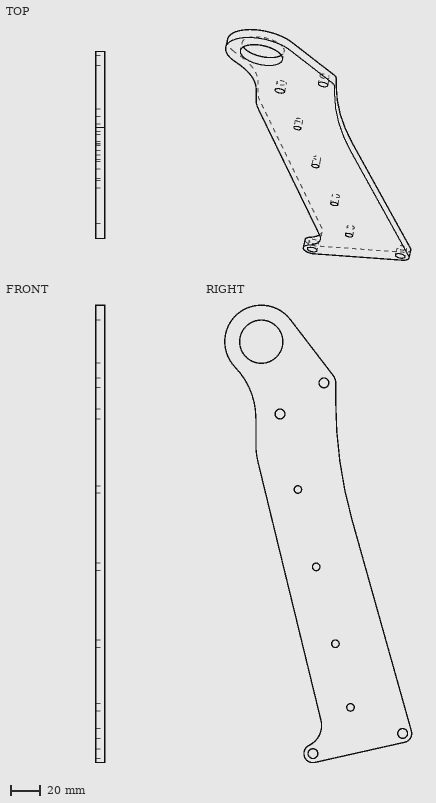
import cadquery as cq
import math

thickness = 6.2

ring_centre = (0.0, 287.5)
ring_radius = 25.0
bore_diameter = 29.5

shoulder_centre = (42.8, 259.3)
shoulder_radius = 8.0
heel_centre = (96.5, 20.0)
toe_centre = (35.3, 6.2)
foot_radius = 6.2
neck_hole = (12.8, 238.0)
mounting_diameter = 6.5

row_holes = [(25.0, 186.5), (37.5, 133.7), (50.5, 81.2), (61.0, 37.8)]
row_diameter = 5.0

back_edge_y = shoulder_centre[0] + shoulder_radius
back_lean = 15.7
back_bend_radius = 300.0

knee = (-3.7, 211.2)
front_lean = 13.7
neck_radius = 50.0
knee_radius = 50.0
toe_fillet_radius = 15.0


def polar(centre, radius, angle):
    """Point at the given radius and angle around a centre."""
    turn = math.radians(angle)
    return (centre[0] + radius * math.cos(turn), centre[1] + radius * math.sin(turn))


def dot(a, b):
    """Scalar product of two (y, z) vectors."""
    return a[0] * b[0] + a[1] * b[1]


def direction_angle(start, end):
    """Angle of the direction from one point to another."""
    return math.degrees(math.atan2(end[1] - start[1], end[0] - start[0]))


def add_arc(path, centre, radius, start, end):
    """Follow an arc from the current point, which lies at its start angle."""
    middle = (start + end) / 2
    return path.threePointArc(polar(centre, radius, middle), polar(centre, radius, end))


def add_line_and_arc(path, centre, radius, start, end):
    """Straight edge to the start of an arc, then the arc."""
    path = path.lineTo(*polar(centre, radius, start))
    return add_arc(path, centre, radius, start, end)


def back_bend_centre():
    """Centre of the bend tangent to the upright back edge and the line leaving the heel."""
    normal = polar((0, 0), 1, back_lean)
    y = back_edge_y + back_bend_radius
    offset = dot(normal, heel_centre) + foot_radius + back_bend_radius
    return (y, (offset - normal[0] * y) / normal[1])


def neck_centre():
    """Centre of the concave arc tangent to the ring and the upright front edge."""
    y = knee[0] - neck_radius
    drop = math.sqrt((ring_radius + neck_radius) ** 2 - (y - ring_centre[0]) ** 2)
    return (y, ring_centre[1] - drop)


def toe_fillet_centre():
    """Centre of the concave arc tangent to the leaning front edge and the toe."""
    normal_angle = 180 + front_lean
    offset_knee = polar(knee, toe_fillet_radius, normal_angle)
    from_toe = (offset_knee[0] - toe_centre[0], offset_knee[1] - toe_centre[1])
    across = dot(from_toe, polar((0, 0), 1, normal_angle))
    along = dot(from_toe, polar((0, 0), 1, normal_angle + 90))
    rise = math.sqrt((foot_radius + toe_fillet_radius) ** 2 - across**2)
    return polar(offset_knee, -along - rise, normal_angle + 90)


def plate():
    sole_angle = direction_angle(toe_centre, heel_centre) - 90
    bend = back_bend_centre()
    neck = neck_centre()
    toe_fillet = toe_fillet_centre()

    span = math.dist(shoulder_centre, ring_centre)
    spread = math.degrees(math.acos((shoulder_radius - ring_radius) / span))
    brow_angle = direction_angle(shoulder_centre, ring_centre) - spread

    knee_setback = knee_radius * math.tan(math.radians(front_lean / 2))
    knee_centre = (knee[0] + knee_radius, knee[1] + knee_setback)

    neck_angle = direction_angle(neck, ring_centre)
    toe_angle = direction_angle(toe_fillet, toe_centre)

    path = cq.Workplane("YZ").moveTo(*polar(toe_centre, foot_radius, sole_angle))
    path = add_line_and_arc(path, heel_centre, foot_radius, sole_angle, back_lean)
    path = add_line_and_arc(path, bend, back_bend_radius, 180 + back_lean, 180)
    path = add_line_and_arc(path, shoulder_centre, shoulder_radius, 0, brow_angle)
    path = add_line_and_arc(path, ring_centre, ring_radius, brow_angle, 180 + neck_angle)
    path = add_arc(path, neck, neck_radius, neck_angle, 0)
    path = add_line_and_arc(path, knee_centre, knee_radius, 180, 180 + front_lean)
    path = add_line_and_arc(path, toe_fillet, toe_fillet_radius, front_lean, toe_angle)
    path = add_arc(path, toe_centre, foot_radius, toe_angle + 180, 360 + sole_angle)
    return path.close().extrude(thickness)


def drill(body, centres, diameter):
    cutters = cq.Workplane("YZ").pushPoints(centres).circle(diameter / 2).extrude(thickness)
    return body.cut(cutters)


result = plate()
result = drill(result, [ring_centre], bore_diameter)
result = drill(result, [shoulder_centre, neck_hole, heel_centre, toe_centre], mounting_diameter)
result = drill(result, row_holes, row_diameter)